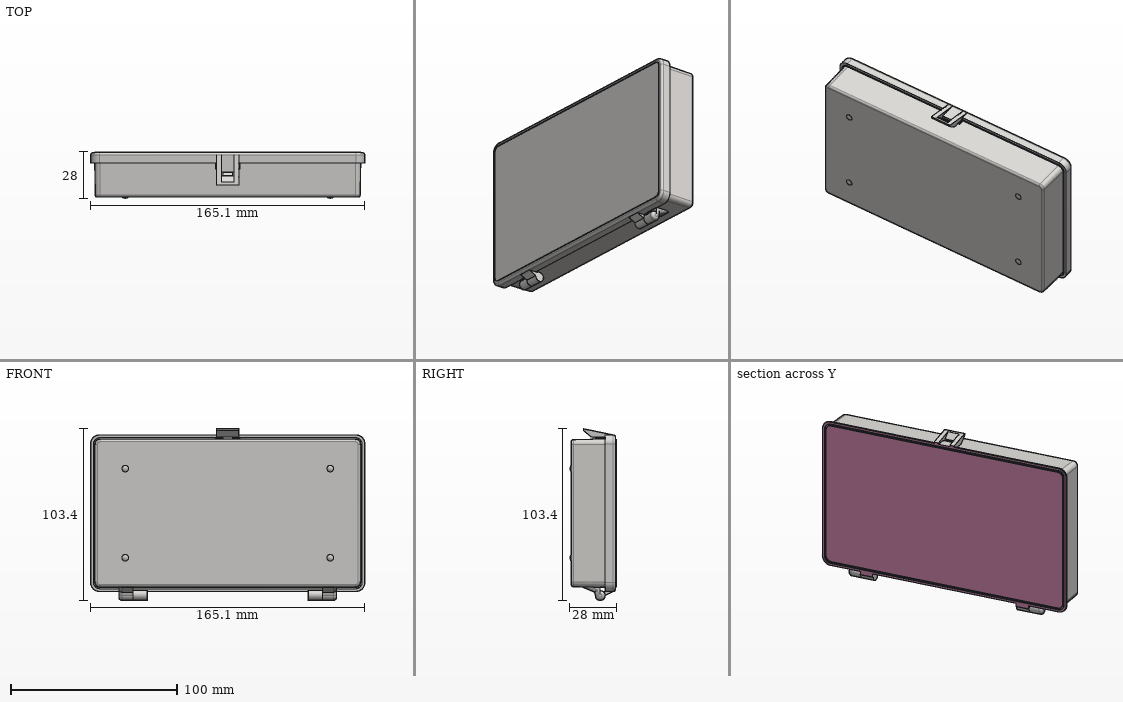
import cadquery as cq


lid_width = 165.1
lid_height = 94.3
lid_depth = 6.3
lid_corner_radius = 5.5
lid_edge_fillet = 1.5
panel_inset = 2.6
panel_rise = 0.5

channel_width = 0.8
channel_depth = 1.7

rim = 2.5
base_width = lid_width - 2 * rim
base_height = lid_height - 2 * rim
base_depth = 20.5
base_corner_radius = 3.3
base_draft = 1.0
base_edge_fillet = 1.3

foot_spacing_x = 123.3
foot_spacing_z = 53.7
foot_radius = 2.0
foot_rise = 0.7
foot_sphere_radius = (foot_radius**2 + foot_rise**2) / (2 * foot_rise)

lever_width = 13.5
lever_root_y = lid_depth - lid_edge_fillet
lever_root_z = lid_height / 2
lever_tip_y = -13.0
lever_tip_z = 50.9
lever_tip_height = 1.2
lever_bottom_z = 45.7
lever_heel_y = -8.3

window_width = 7.6
window_end_y = -11.4
tongue_end_y = -5.5
slot_end_y = -7.6
floor_start_z = 47.2

catch_width = 14.5
catch_length = 3.6
catch_top_z = 45.2
catch_root_z = 43.0
hook_width = 6.0
hook_clearance = 0.2
hook_top_z = 46.5

hinge_inner_x = 48.4
hinge_split_x = 57.0
hinge_outer_x = 65.5
barrel_radius = 3.0
barrel_y = -3.0
barrel_z = -49.5
base_arm_front_y = -13.2
base_arm_knee_y = -6.5
base_arm_knee_z = -47.5
base_arm_root_z = -42.1
arm_end_fillet = 2.0


def rounded_plate(width, height, y_start, thickness, corner_radius, draft=0.0):
    """Rounded rectangle in XZ, grown from y_start toward -Y."""
    outline = cq.Sketch().rect(width, height).vertices().fillet(corner_radius)
    plane = cq.Workplane("XZ", origin=(0, y_start, 0))
    return plane.placeSketch(outline).extrude(thickness, taper=draft)


def yz_prism(points, x_start, x_end):
    """Prism with a (y, z) outline between two X positions."""
    return cq.Workplane("YZ", origin=(x_start, 0, 0)).polyline(points).close().extrude(x_end - x_start)


def barrel(x_start, x_end):
    plane = cq.Workplane("YZ", origin=(x_start, 0, 0))
    return plane.center(barrel_y, barrel_z).circle(barrel_radius).extrude(x_end - x_start)


def lever_top_z(y):
    slope = (lever_tip_z - lever_root_z) / (lever_root_y - lever_tip_y)
    return lever_root_z + slope * (lever_root_y - y)


def latch_lever():
    root_inside_z = lid_height / 2 - lid_edge_fillet
    side = [
        (lever_root_y, root_inside_z),
        (lever_root_y, lever_root_z),
        (lever_tip_y, lever_tip_z),
        (lever_tip_y, lever_tip_z - lever_tip_height),
        (lever_heel_y, lever_bottom_z),
        (0, lever_bottom_z),
        (0, root_inside_z),
    ]
    window = [
        (lever_root_y, lever_root_z),
        (tongue_end_y, lever_root_z),
        (tongue_end_y, lever_bottom_z),
        (slot_end_y, lever_bottom_z),
        (slot_end_y, floor_start_z),
        (window_end_y, lever_top_z(window_end_y)),
    ]
    lever = yz_prism(side, -lever_width / 2, lever_width / 2)
    return lever.cut(yz_prism(window, -window_width / 2, window_width / 2))


def latch_catch():
    block_side = [
        (0, catch_root_z),
        (0, catch_top_z),
        (-catch_length, catch_top_z),
        (-catch_length, catch_root_z),
    ]
    hook_back_y = tongue_end_y - hook_clearance
    hook_front_y = slot_end_y + hook_clearance
    hook_side = [
        (-catch_length, catch_root_z),
        (-catch_length, catch_top_z),
        (hook_back_y, catch_top_z),
        (hook_front_y, hook_top_z),
        (hook_front_y, catch_root_z),
    ]
    block = yz_prism(block_side, -catch_width / 2, catch_width / 2)
    return block.union(yz_prism(hook_side, -hook_width / 2, hook_width / 2))


def lid_knuckle():
    """Inner half of the +X hinge: a wedge under the lid edge ending in a barrel."""
    edge_y = lid_depth - lid_edge_fillet
    edge_z = -lid_height / 2
    side = [
        (edge_y, edge_z + lid_edge_fillet),
        (edge_y, edge_z),
        (barrel_y + barrel_radius, barrel_z),
        (barrel_y, barrel_z),
        (barrel_y, edge_z),
        (0, edge_z),
        (0, edge_z + lid_edge_fillet),
    ]
    arm = yz_prism(side, hinge_inner_x, hinge_split_x)
    return arm.union(barrel(hinge_inner_x, hinge_split_x))


def base_knuckle():
    """Outer half of the +X hinge: an arm from the base ending in a barrel with a rounded end."""
    side = [
        (barrel_y, base_arm_root_z),
        (barrel_y, barrel_z),
        (barrel_y - barrel_radius, barrel_z),
        (base_arm_knee_y, base_arm_knee_z),
        (base_arm_front_y, -base_height / 2),
        (base_arm_front_y, base_arm_root_z),
    ]
    arm = yz_prism(side, hinge_split_x, hinge_outer_x)
    knuckle = arm.union(barrel(hinge_split_x, hinge_outer_x))
    box_top = (hinge_split_x, base_arm_front_y, -base_height / 2)
    box_bottom = (hinge_outer_x + barrel_radius, barrel_y + barrel_radius, barrel_z - barrel_radius)
    end_edges = knuckle.faces(">X").edges(cq.selectors.BoxSelector(box_top, box_bottom))
    return end_edges.fillet(arm_end_fillet)


def both_sides(knuckle):
    return [knuckle, knuckle.mirror("YZ")]


def clearance_channel():
    outer = rounded_plate(
        base_width + 2 * channel_width,
        base_height + 2 * channel_width,
        channel_depth,
        channel_depth,
        base_corner_radius + channel_width,
    )
    return outer.cut(rounded_plate(base_width, base_height, channel_depth, channel_depth, base_corner_radius))


def build_lid():
    body = rounded_plate(lid_width, lid_height, lid_depth, lid_depth, lid_corner_radius)
    body = body.faces(">Y").edges().fillet(lid_edge_fillet)
    panel = rounded_plate(
        lid_width - 2 * panel_inset,
        lid_height - 2 * panel_inset,
        lid_depth + panel_rise,
        panel_rise,
        lid_corner_radius - panel_inset,
    )
    body = body.union(panel).cut(clearance_channel()).union(latch_lever())
    for knuckle in both_sides(lid_knuckle()):
        body = body.union(knuckle)
    return body


def build_base():
    body = rounded_plate(base_width, base_height, 0, base_depth, base_corner_radius, base_draft)
    body = body.faces("<Y").edges().fillet(base_edge_fillet)
    body = body.union(latch_catch())
    for knuckle in both_sides(base_knuckle()):
        body = body.union(knuckle)
    dome_center_y = -base_depth - foot_rise + foot_sphere_radius
    for x in (-foot_spacing_x / 2, foot_spacing_x / 2):
        for z in (-foot_spacing_z / 2, foot_spacing_z / 2):
            dome = cq.Workplane("XY").sphere(foot_sphere_radius).translate((x, dome_center_y, z))
            body = body.union(dome)
    return body


lid = build_lid()
base = build_base()

result = cq.Compound.makeCompound([lid.val(), base.val()])